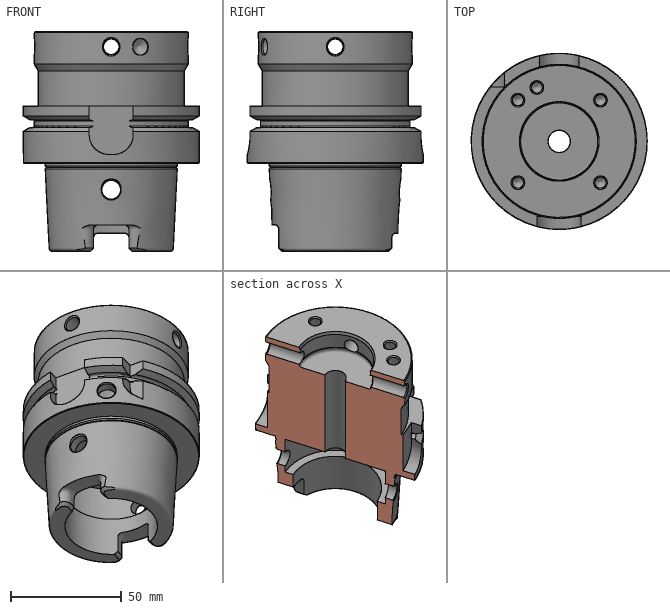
import cadquery as cq
import math


HEAD_TOP = 59.9
HEAD_RADIUS = 35.0
HEAD_RIM_CHAMFER = 0.5
HEAD_BOTTOM = 45.0
HEAD_TAPER_HEIGHT = 3.0
NECK_RADIUS = HEAD_RADIUS - HEAD_TAPER_HEIGHT * math.tan(math.radians(30))

FLANGE_TOP = 26.0
FLANGE_RADIUS = 40.0
FLANGE_EDGE_CHAMFER = 0.3
GROOVE_MID = 18.0
GROOVE_FLOOR_RADIUS = 35.0
GROOVE_FLOOR_HALF_WIDTH = 1.75
GROOVE_MOUTH_HALF_WIDTH = 3.5
GROOVE_WALL_RADIUS = FLANGE_RADIUS - (
    GROOVE_MOUTH_HALF_WIDTH - GROOVE_FLOOR_HALF_WIDTH
) / math.tan(math.radians(30))
GROOVE_FILLET = 0.6

SHANK_LENGTH = 40.0
SHANK_END_FILLET = 1.5
DRIVE_MOUTH_CHAMFER = 1.5
TAPER_TOP = -2.6
TAPER_TOP_RADIUS = 30.05
TAPER_SLOPE = 1 / 20
RELIEF_LAND = 1.2
RELIEF_MID = (TAPER_TOP - RELIEF_LAND) / 2
RELIEF_DEPTH = 0.4
BORE_RADIUS = 21.0
CHAMBER_RADIUS = 25.0
CHAMBER_BOTTOM = -20.0
COOLANT_RADIUS = 5.0

POCKET_RADIUS = 17.5
POCKET_DEPTH = 12.0
POCKET_MOUTH_RADIUS = 18.1
POCKET_MOUTH_DEPTH = 1.3
POCKET_UNDERCUT_TOP = 9.5
POCKET_UNDERCUT = 0.3
POCKET_FLOOR_FILLET = 1.0

BOLT_CIRCLE_RADIUS = 26.5
BOLT_ANGLES = (45, 135, 225, 315)
EXTRA_BOLT_ANGLE = 112.5
BOLT_RADIUS = 2.5
BOLT_MOUTH_RADIUS = 3.1
BOLT_DEPTH = 12.0
DRILL_HALF_ANGLE = math.radians(59)
SIDE_HOLE_HEIGHT = HEAD_TOP - 7.0
SIDE_HOLE_RADIUS = 3.5
SIDE_HOLE_MOUTH_RADIUS = 4.2
SIDE_HOLE_ANGLES = (0, 90, 180, 270)
DIMPLE_ANGLE = -67.5
DIMPLE_RADIUS = 3.8
DIMPLE_DEPTH = 1.0

CHIP_HOLE_HEIGHT = 7.2
CHIP_HOLE_ANGLE = 117.7
CHIP_HOLE_RADIUS = 4.1
CHIP_HOLE_MOUTH_RADIUS = 4.6
CHIP_HOLE_DEPTH = 5.0
CROSS_HOLE_HEIGHT = -12.0
CROSS_HOLE_RADIUS = 4.25
CROSS_HOLE_MOUTH_RADIUS = 4.9

SLOT_FLOOR_Y = 34.0
SLOT_CORNER_RADIUS = 9.0
SLOT_BOTTOM = 4.0
FRONT_SLOT_WIDTH = 20.0
REAR_SLOT_WIDTH = 18.0
NOTCH_OFFSET = 24.75

DRIVE_SLOT_HALF_WIDTH = 8.02
DRIVE_LIP_RADIUS = 3.7
DRIVE_LIP_REACH = 25.7
DRIVE_LIP_ANGLE = math.radians(27)
FRONT_DRIVE_DEPTH = 12.0
REAR_DRIVE_DEPTH = 8.2
DRIVE_CEILING_FILLET = 2.0

OVERSHOOT = 10.0


def taper_radius(z):
    return TAPER_TOP_RADIUS + (z - TAPER_TOP) * TAPER_SLOPE


def revolve(points):
    return cq.Workplane("XZ").polyline(points).close().revolve(360, (0, 0), (0, 1))


def make_body():
    """Outside of the part: taper shank, grooved flange, neck and head."""
    floor_low = GROOVE_MID - GROOVE_FLOOR_HALF_WIDTH
    floor_high = GROOVE_MID + GROOVE_FLOOR_HALF_WIDTH
    body = revolve([
        (0, -SHANK_LENGTH),
        (taper_radius(-SHANK_LENGTH), -SHANK_LENGTH),
        (TAPER_TOP_RADIUS, TAPER_TOP),
        (TAPER_TOP_RADIUS - RELIEF_DEPTH, RELIEF_MID),
        (TAPER_TOP_RADIUS, -RELIEF_LAND),
        (TAPER_TOP_RADIUS, 0),
        (FLANGE_RADIUS - FLANGE_EDGE_CHAMFER, 0),
        (FLANGE_RADIUS, FLANGE_EDGE_CHAMFER),
        (FLANGE_RADIUS, GROOVE_MID - GROOVE_MOUTH_HALF_WIDTH),
        (GROOVE_WALL_RADIUS, floor_low),
        (GROOVE_FLOOR_RADIUS, floor_low),
        (GROOVE_FLOOR_RADIUS, floor_high),
        (GROOVE_WALL_RADIUS, floor_high),
        (FLANGE_RADIUS, GROOVE_MID + GROOVE_MOUTH_HALF_WIDTH),
        (FLANGE_RADIUS, FLANGE_TOP),
        (NECK_RADIUS, FLANGE_TOP),
        (NECK_RADIUS, HEAD_BOTTOM - HEAD_TAPER_HEIGHT),
        (HEAD_RADIUS, HEAD_BOTTOM),
        (HEAD_RADIUS, HEAD_TOP - HEAD_RIM_CHAMFER),
        (HEAD_RADIUS - HEAD_RIM_CHAMFER, HEAD_TOP),
        (0, HEAD_TOP),
    ])
    reach = GROOVE_FLOOR_RADIUS + GROOVE_FILLET / 2
    corners = cq.selectors.BoxSelector(
        (-reach, -reach, floor_low - GROOVE_FILLET),
        (reach, reach, floor_high + GROOVE_FILLET),
        boundingbox=True,
    )
    body = body.edges(corners).edges("%CIRCLE").fillet(GROOVE_FILLET)
    return body.faces("<Z").edges().fillet(SHANK_END_FILLET)


def cone_frustum(bottom_z, bottom_radius, top_z, top_radius):
    return revolve([(0, bottom_z), (bottom_radius, bottom_z), (top_radius, top_z), (0, top_z)])


def drive_slot_outline(side, height):
    """Plan of a drive slot at a given height: straight walls whose mouth rounds outwards.

    side is -1 for the slot towards -Y and +1 for the slot towards +Y.
    """
    wall_x = DRIVE_SLOT_HALF_WIDTH
    inner_y = BORE_RADIUS / 2
    lip_x = wall_x + DRIVE_LIP_RADIUS
    lip_y = DRIVE_LIP_REACH - DRIVE_LIP_RADIUS
    lip_end_x = lip_x + DRIVE_LIP_RADIUS * math.sin(DRIVE_LIP_ANGLE)
    lip_end_y = lip_y + DRIVE_LIP_RADIUS * math.cos(DRIVE_LIP_ANGLE)
    half_sweep = (math.pi / 2 + DRIVE_LIP_ANGLE) / 2
    lip_mid_x = lip_x - DRIVE_LIP_RADIUS * math.cos(half_sweep)
    lip_mid_y = lip_y + DRIVE_LIP_RADIUS * math.sin(half_sweep)
    outer_x = lip_end_x + OVERSHOOT * math.cos(DRIVE_LIP_ANGLE)
    outer_y = lip_end_y - OVERSHOOT * math.sin(DRIVE_LIP_ANGLE)
    far_y = FLANGE_RADIUS
    return (
        cq.Workplane("XY", origin=(0, 0, height))
        .moveTo(-wall_x, side * inner_y)
        .lineTo(-wall_x, side * lip_y)
        .threePointArc((-lip_mid_x, side * lip_mid_y), (-lip_end_x, side * lip_end_y))
        .lineTo(-outer_x, side * outer_y)
        .lineTo(-outer_x, side * far_y)
        .lineTo(outer_x, side * far_y)
        .lineTo(outer_x, side * outer_y)
        .lineTo(lip_end_x, side * lip_end_y)
        .threePointArc((lip_mid_x, side * lip_mid_y), (wall_x, side * lip_y))
        .lineTo(wall_x, side * inner_y)
        .close()
    )


def make_drive_slot(side, depth):
    """Cutter for one drive slot, filleted at its ceiling and chamfered at the end face."""
    slot = drive_slot_outline(side, -SHANK_LENGTH).extrude(depth)
    slot = slot.faces(">Z").edges().fillet(DRIVE_CEILING_FILLET)
    chamfer = drive_slot_outline(side, DRIVE_MOUTH_CHAMFER - SHANK_LENGTH).extrude(
        -DRIVE_MOUTH_CHAMFER, taper=-45
    )
    return slot.union(chamfer)


def make_pocket():
    """Round pocket in the head, with a tapered mouth and an undercut above its floor."""
    floor = HEAD_TOP - POCKET_DEPTH
    undercut_height = POCKET_DEPTH - POCKET_UNDERCUT_TOP
    undercut = (
        cq.Workplane("XY", origin=(0, 0, floor))
        .circle(POCKET_RADIUS + POCKET_UNDERCUT)
        .extrude(undercut_height)
        .faces("<Z")
        .edges()
        .fillet(POCKET_FLOOR_FILLET)
    )
    wall = cone_frustum(HEAD_TOP - POCKET_UNDERCUT_TOP, POCKET_RADIUS, HEAD_TOP, POCKET_RADIUS)
    mouth = cone_frustum(
        HEAD_TOP - POCKET_MOUTH_DEPTH, POCKET_RADIUS, HEAD_TOP, POCKET_MOUTH_RADIUS
    )
    return undercut.union(wall).union(mouth)


def make_drill(radius, depth, mouth_radius):
    """Drilled hole with a conical end, its mouth chamfered at 45 degrees, entering at z = 0."""
    tip = depth + radius / math.tan(DRILL_HALF_ANGLE)
    drill = revolve([(0, 0), (radius, 0), (radius, -depth), (0, -tip)])
    lead = mouth_radius - radius
    if lead > 0:
        drill = drill.union(cone_frustum(-lead, radius, 0, mouth_radius))
    return drill.union(cone_frustum(0, mouth_radius, OVERSHOOT, mouth_radius))


def turn_outwards(drill, angle, surface_radius, height):
    """Lay an upright drill down so that it enters a round wall at the given angle about Z."""
    drill = drill.rotate((0, 0, 0), (0, 1, 0), 90)
    return drill.translate((surface_radius, 0, height)).rotate((0, 0, 0), (0, 0, 1), angle)


def bolt_hole(angle):
    drill = make_drill(BOLT_RADIUS, BOLT_DEPTH, BOLT_MOUTH_RADIUS)
    drill = drill.translate((BOLT_CIRCLE_RADIUS, 0, HEAD_TOP))
    return drill.rotate((0, 0, 0), (0, 0, 1), angle)


def make_flange_slot(side, width):
    """Cutter for a flat-floored slot, open at the flange's top face and rounded below."""
    flat_half = width / 2 - SLOT_CORNER_RADIUS
    corner_height = SLOT_BOTTOM + SLOT_CORNER_RADIUS
    arc_reach = SLOT_CORNER_RADIUS * math.sin(math.radians(45))
    outline = (
        cq.Workplane("XZ")
        .moveTo(-width / 2, FLANGE_TOP)
        .lineTo(-width / 2, corner_height)
        .threePointArc((-flat_half - arc_reach, corner_height - arc_reach), (-flat_half, SLOT_BOTTOM))
    )
    if flat_half > 0:
        outline = outline.lineTo(flat_half, SLOT_BOTTOM)
    cutter = (
        outline
        .threePointArc((flat_half + arc_reach, corner_height - arc_reach), (width / 2, corner_height))
        .lineTo(width / 2, FLANGE_TOP)
        .close()
        .extrude(-side * OVERSHOOT)
    )
    return cutter.translate((0, side * SLOT_FLOOR_Y, 0))


def make_notch():
    """Corner notch in the flange, its foot rounded about an axis along Y."""
    reach = 2 * SLOT_CORNER_RADIUS
    cutter = cq.Workplane("XY").box(
        reach, reach, FLANGE_TOP - SLOT_BOTTOM, centered=(True, True, False)
    )
    cutter = cutter.edges("|Y and >X and <Z").fillet(SLOT_CORNER_RADIUS)
    centre = NOTCH_OFFSET + reach / 2
    return cutter.translate((-centre, centre, SLOT_BOTTOM))


result = make_body()
result = result.cut(make_drive_slot(-1, FRONT_DRIVE_DEPTH))
result = result.cut(make_drive_slot(1, REAR_DRIVE_DEPTH))
result = result.cut(cone_frustum(-SHANK_LENGTH, BORE_RADIUS, 0, BORE_RADIUS))
result = result.cut(cone_frustum(CHAMBER_BOTTOM, CHAMBER_RADIUS, 0, CHAMBER_RADIUS))

result = result.cut(make_flange_slot(-1, FRONT_SLOT_WIDTH))
result = result.cut(make_flange_slot(1, REAR_SLOT_WIDTH))
result = result.cut(make_notch())
chip_hole = make_drill(CHIP_HOLE_RADIUS, CHIP_HOLE_DEPTH, CHIP_HOLE_MOUTH_RADIUS)
result = result.cut(turn_outwards(chip_hole, CHIP_HOLE_ANGLE, FLANGE_RADIUS, CHIP_HOLE_HEIGHT))

cross_hole = make_drill(CROSS_HOLE_RADIUS, BORE_RADIUS, CROSS_HOLE_MOUTH_RADIUS)
for angle in (90, -90):
    result = result.cut(
        turn_outwards(cross_hole, angle, taper_radius(CROSS_HOLE_HEIGHT), CROSS_HOLE_HEIGHT)
    )

result = result.cut(make_pocket())
result = result.cut(cone_frustum(-SHANK_LENGTH, COOLANT_RADIUS, HEAD_TOP, COOLANT_RADIUS))
for angle in BOLT_ANGLES + (EXTRA_BOLT_ANGLE,):
    result = result.cut(bolt_hole(angle))
side_hole = make_drill(SIDE_HOLE_RADIUS, BOLT_CIRCLE_RADIUS, SIDE_HOLE_MOUTH_RADIUS)
for angle in SIDE_HOLE_ANGLES:
    result = result.cut(turn_outwards(side_hole, angle, HEAD_RADIUS, SIDE_HOLE_HEIGHT))
dimple = make_drill(DIMPLE_RADIUS, DIMPLE_DEPTH, DIMPLE_RADIUS)
result = result.cut(turn_outwards(dimple, DIMPLE_ANGLE, HEAD_RADIUS, SIDE_HOLE_HEIGHT))